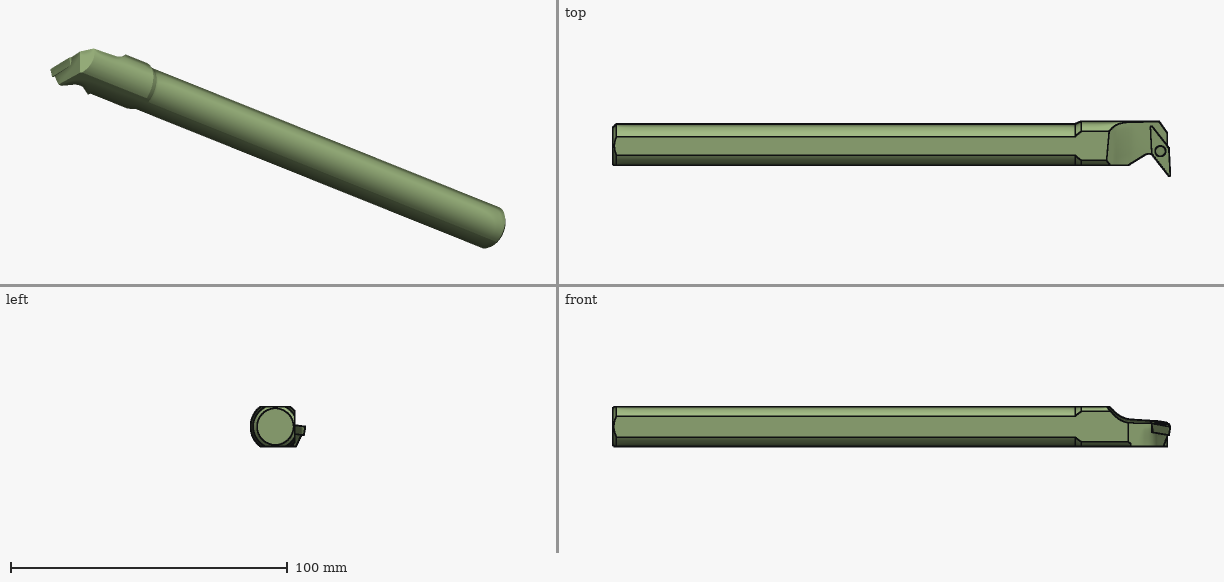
import cadquery as cq
import math

shank_radius = 8.0
head_radius = 8.95
flat_height = 14.5
front_flat_y = -7.05
end_chamfer = 1.4
flare_start_x = 167.0
flare_end_x = 169.3
half_height = flat_height / 2

head_end_x = 200.4
end_bevel_x = 197.3
end_bevel_y = 4.6
neck_start_x = 186.2
neck_angle = 32.0
neck_radius = 3.2

inscribed_diameter = 6.35
insert_thickness = 3.18
nose_angle = 35.0
nose_radius = 0.4
clearance_angle = 5.0
recess_diameter = 3.8
recess_depth = 0.5
approach_angle = 3.0
insert_x = 197.84
insert_y = -1.91
insert_z = 1.02
seat_setback = 0.6

fall_along_x = 0.065
rise_along_y = 0.088

ramp_foot_x = 187.2
ramp_angle = 43.0
ramp_radius = 9.0

nose_relief_angle = 26.0
nose_relief_y = -9.6
nose_relief_z = -2.8

oversize = 60.0

half_nose = math.radians(nose_angle / 2)
diagonal_lean = half_nose + math.radians(approach_angle)
edge_lean = diagonal_lean + half_nose
half_length = inscribed_diameter / 2 / math.sin(half_nose)
half_width = inscribed_diameter / 2 / math.cos(half_nose)


def sloping_plane(direction_x, direction_y):
    """The common top plane, with its local X axis along the given plan direction."""
    climb = rise_along_y * direction_y - fall_along_x * direction_x
    return cq.Plane(
        origin=(insert_x, insert_y, insert_z),
        xDir=(direction_x, direction_y, climb),
        normal=(fall_along_x, -rise_along_y, 1),
    )


def make_insert_blank():
    """Insert without its recess, tapering downwards, in its place on the head."""
    tangent_length = nose_radius / math.tan(half_nose)
    arc_start_x = half_length - tangent_length * math.cos(half_nose)
    arc_start_y = tangent_length * math.sin(half_nose)
    tip_x = half_length - nose_radius / math.sin(half_nose) + nose_radius
    return (
        cq.Workplane(sloping_plane(math.sin(diagonal_lean), -math.cos(diagonal_lean)))
        .moveTo(0, half_width)
        .lineTo(arc_start_x, arc_start_y)
        .threePointArc((tip_x, 0), (arc_start_x, -arc_start_y))
        .lineTo(0, -half_width)
        .lineTo(-arc_start_x, -arc_start_y)
        .threePointArc((-tip_x, 0), (-arc_start_x, arc_start_y))
        .close()
        .extrude(-insert_thickness, taper=clearance_angle)
    )


def make_insert(blank):
    recess = (
        cq.Workplane(sloping_plane(1, 0))
        .circle(recess_diameter / 2)
        .extrude(-recess_depth)
    )
    return blank.cut(recess)


def make_round_bar():
    """Turned bar with its end chamfer and flare, flattened above and below."""
    half_profile = [
        (0, 0),
        (0, shank_radius - end_chamfer),
        (end_chamfer, shank_radius),
        (flare_start_x, shank_radius),
        (flare_end_x, head_radius),
        (head_end_x, head_radius),
        (head_end_x, 0),
    ]
    turned = cq.Workplane("XY").polyline(half_profile).close().revolve(360, (0, 0), (1, 0))
    between_flats = cq.Workplane("YZ").rect(oversize, flat_height).extrude(head_end_x)
    return turned.intersect(between_flats)


def make_nose_block():
    """Seat under the insert's nose, reaching out of the round bar, with a slanted underside."""
    foot_y = nose_relief_y + (nose_relief_z + half_height) * math.tan(math.radians(nose_relief_angle))
    section = [
        (0, half_height),
        (nose_relief_y, half_height),
        (nose_relief_y, nose_relief_z),
        (foot_y, -half_height),
        (0, -half_height),
    ]
    return (
        cq.Workplane("YZ", origin=(ramp_foot_x, 0, 0))
        .polyline(section)
        .close()
        .extrude(head_end_x - ramp_foot_x)
    )


def make_plan_prism():
    """Outline seen from above: front flat, rounded neck, seat wall and bevelled end."""
    neck = math.radians(neck_angle)
    neck_dx, neck_dy = math.cos(neck), math.sin(neck)
    wall_dx, wall_dy = math.sin(edge_lean), -math.cos(edge_lean)

    wall_x = insert_x - half_width * math.cos(diagonal_lean) + seat_setback * math.cos(edge_lean)
    wall_y = insert_y - half_width * math.sin(diagonal_lean) + seat_setback * math.sin(edge_lean)

    neck_length = (
        (wall_x - neck_start_x) * wall_dy - (wall_y - front_flat_y) * wall_dx
    ) / (neck_dx * wall_dy - neck_dy * wall_dx)
    corner_x = neck_start_x + neck_length * neck_dx
    corner_y = front_flat_y + neck_length * neck_dy
    wall_end_y = wall_y + (head_end_x - wall_x) * wall_dy / wall_dx

    outline = [
        (0, front_flat_y),
        (neck_start_x, front_flat_y),
        (corner_x, corner_y),
        (head_end_x, wall_end_y),
        (head_end_x, end_bevel_y),
        (end_bevel_x, head_radius),
        (0, head_radius),
    ]
    prism = (
        cq.Workplane("XY", origin=(0, 0, -half_height))
        .polyline(outline)
        .close()
        .extrude(flat_height)
    )
    neck_edge = prism.edges(cq.NearestToPointSelector((corner_x, corner_y, 0)))
    return neck_edge.fillet(neck_radius)


def make_ramp_cutter():
    """Everything above the sloping top face and the rounded ramp that leads down to it."""
    angle = math.radians(ramp_angle)
    foot = ramp_foot_x - insert_x

    def arc_point(turn):
        return foot - ramp_radius * math.sin(turn), ramp_radius * (1 - math.cos(turn))

    arc_end_x, arc_end_z = arc_point(angle)
    profile = (
        cq.Workplane("XZ")
        .moveTo(oversize, 0)
        .lineTo(foot, 0)
        .threePointArc(arc_point(angle / 2), (arc_end_x, arc_end_z))
        .lineTo(arc_end_x - flat_height / math.tan(angle), arc_end_z + flat_height)
        .lineTo(oversize, arc_end_z + flat_height)
        .close()
    )
    cutter = profile.extrude(oversize, both=True)
    return cq.Workplane(cutter.val().moved(cq.Location(sloping_plane(1, 0))))


def make_holder(insert_blank):
    solid = make_round_bar().union(make_nose_block())
    solid = solid.intersect(make_plan_prism())
    solid = solid.cut(make_ramp_cutter())
    return solid.cut(insert_blank)


insert_blank = make_insert_blank()
insert = make_insert(insert_blank)
holder = make_holder(insert_blank)

result = cq.Compound.makeCompound([holder.val(), insert.val()])